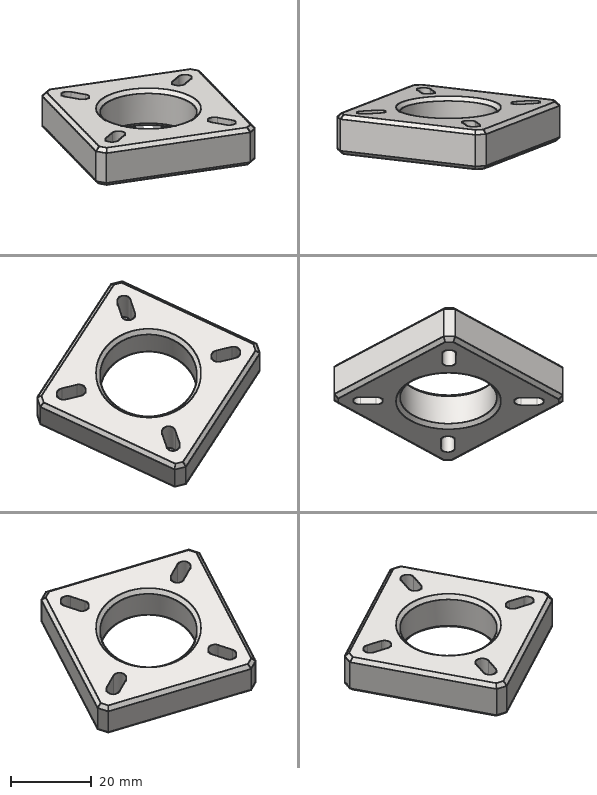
import cadquery as cq
import math

side = 42.0
thickness = 10.0
corner_cut = 2.0
edge_chamfer = 1.0

bore_diameter = 24.0

slot_width = 3.4
slot_center_offset = 14.05
slot_end_spacing = 3.95
slot_length = slot_end_spacing + slot_width


def make_plate():
    """Square plate with cut corners and chamfered top and bottom rims."""
    plate = cq.Workplane("XY").box(side, side, thickness)
    plate = plate.edges("|Z").chamfer(corner_cut)
    return plate.faces("<Z or >Z").edges().chamfer(edge_chamfer)


def cut_bore(plate):
    """Cut the through bore and chamfer both of its rims."""
    bored = plate.faces(">Z").workplane().hole(bore_diameter)
    return bored.faces("<Z or >Z").edges("%CIRCLE").chamfer(edge_chamfer)


def make_slots():
    """Four through slots pointing towards the plate centre."""
    slot_radius = slot_center_offset * math.sqrt(2)
    return (
        cq.Workplane("XY")
        .polarArray(slot_radius, 45, 360, 4)
        .slot2D(slot_length, slot_width)
        .extrude(thickness / 2, both=True)
    )


result = cut_bore(make_plate()).cut(make_slots())